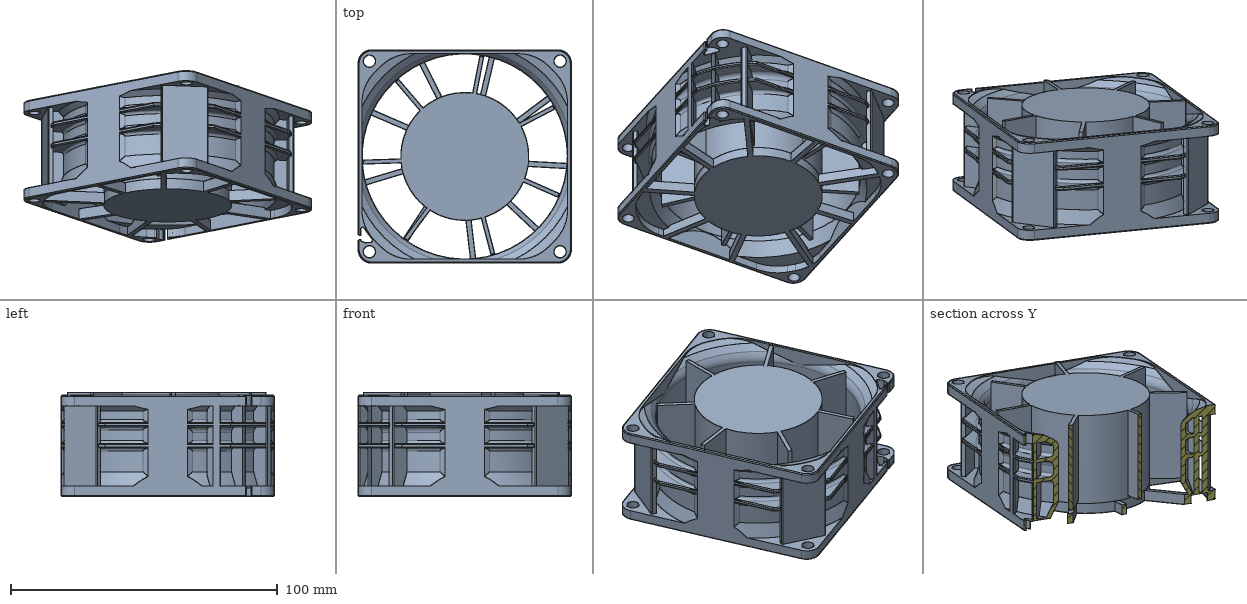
import cadquery as cq
import math

side = 80.0
half = side / 2
frame_height = 38.0
overall_height = 39.0
flange = 4.0
corner_radius = 5.0
bevel = 0.4
hole_diameter = 4.5
hole_spacing = 71.5

bore_radius = 38.5
throat_half = 38.6
mouth_radius = 46.2
throat_fillet = 16.0
shell_radius = 40.0
shell_flare_radius = 42.0
lower_cone_top = 9.3
upper_flare_bottom = 32.0
recess_depth = 3.2
recess_radius = 46.9
bell_arc_radius = 4.4
bell_arc_bottom = 31.4
bell_arc_sweep = 53.0
bell_bend = (42.9, 37.0)
bell_rim_radius = 46.8

pad_half_width = 7.4
pad_root_half_width = 10.4
pad_root_depth = 1.8

rib_levels = (19.0, 27.0)
rib_thickness = 1.6
rib_radius = 46.4
rib_root_fillet = 1.2
brace_fillet = 2.2

guard_outer = 46.6
guard_thickness = 1.9
guard_length = 17.8
guard_web_thickness = 1.6
guards = ((-45, 2.4), (135, -2.4), (45, 0.0))

cable_corner = 225
web_start = 37.2
cable_webs = (
    (-15.0, 2.5, 42.2),
    (-5.0, 1.6, 45.8),
    (7.3, 2.5, guard_outer),
)

notch_outline = [(-39.0, -26.9), (-38.1, -26.6), (-34.6, -31.2), (-34.9, -32.2), (-37.4, -32.3), (-39.0, -31.7)]
notch_entry_y = -30.4
notch_entry_width = 1.6

strut_count = 9
strut_width = 2.0
strut_angle = 76.8
strut_offset = 1.4
strut_reach = 48.0
strut_embed = 0.8

hub_radius = 24.0
blade_count = 7
blade_thickness = 1.5
blade_angle = 79.0
blade_offset = 0.9
blade_tip = 38.1
blade_root = hub_radius - 2.4
blade_clearance = 1.0

bay_bottom = flange
bay_top = frame_height - flange
bay_height = bay_top - bay_bottom
lower_slope = (shell_flare_radius - shell_radius) / (lower_cone_top - bay_bottom)
recess_floor_radius = bore_radius + lower_slope * (lower_cone_top - recess_depth)


def slab(bottom, height, width=side):
    """Square slab centred on the axis."""
    return cq.Workplane("XY").workplane(offset=bottom).rect(width, width).extrude(height)


def turned(profile):
    """Revolve an (axis distance, height) outline drawn in the XZ plane about the Z axis."""
    return profile.close().revolve(360, (0, 0, 0), (0, 1, 0))


def radial_box(start, end, offset, thickness, bottom, top, angle):
    """Plate running outward along the given angle, its middle plane offset from the axis."""
    plate = cq.Workplane("XY").box(end - start, thickness, top - bottom, centered=(False, True, False))
    return plate.translate((start, offset, bottom)).rotate((0, 0, 0), (0, 0, 1), angle)


def beveled_plate(start, end, offset, thickness, angle):
    """Upright plate between the flanges, running outward with its two outer corners bevelled."""
    edge = thickness / 2
    plate = (
        cq.Workplane("XY")
        .polyline([
            (start, -edge),
            (end - bevel, -edge),
            (end, bevel - edge),
            (end, edge - bevel),
            (end - bevel, edge),
            (start, edge),
        ])
        .close()
        .extrude(bay_height)
    )
    return plate.translate((0, offset, bay_bottom)).rotate((0, 0, 0), (0, 0, 1), angle)


def flange_plate(bottom, rim):
    """Rounded square flange with its outer rim chamfered."""
    plate = slab(bottom, flange).edges("|Z").fillet(corner_radius)
    return plate.faces(rim).chamfer(bevel)


def duct_shell():
    """Outside of the duct, flared towards both flanges."""
    shell = turned(
        cq.Workplane("XZ")
        .moveTo(0, bay_bottom)
        .lineTo(shell_flare_radius, bay_bottom)
        .lineTo(shell_radius, lower_cone_top)
        .lineTo(shell_radius, upper_flare_bottom)
        .lineTo(shell_flare_radius, bay_top)
        .lineTo(0, bay_top)
    )
    return shell.intersect(slab(bay_bottom, bay_height))


def side_pads():
    """Flat pads in the middle of the four sides, with sloping flanks."""
    root = half - pad_root_depth
    pad = (
        cq.Workplane("XY")
        .workplane(offset=bay_bottom)
        .polyline([
            (bore_radius - pad_root_depth, -pad_root_half_width),
            (root, -pad_root_half_width),
            (half, -pad_half_width),
            (half, pad_half_width),
            (root, pad_root_half_width),
            (bore_radius - pad_root_depth, pad_root_half_width),
        ])
        .close()
        .extrude(bay_height)
    )
    pads = pad
    for angle in (90, 180, 270):
        pads = pads.union(pad.rotate((0, 0, 0), (0, 0, 1), angle))
    return pads


def rib_root(level, fillet):
    """Ring on the duct wall with a concave fillet below its flat top at the given level."""
    bottom = level - fillet
    sag = fillet * (1 - math.sqrt(0.5))
    return turned(
        cq.Workplane("XZ")
        .moveTo(bore_radius, level)
        .lineTo(bore_radius, bottom)
        .lineTo(shell_radius, bottom)
        .threePointArc((shell_radius + sag, level - sag), (shell_radius + fillet, level))
    )


def rib(level):
    """Horizontal rib around the duct, trimmed to the square sides, bevelled, with filleted roots."""
    low = level - rib_thickness / 2
    disc = cq.Workplane("XY").workplane(offset=low).circle(rib_radius).extrude(rib_thickness)
    plate = slab(low, rib_thickness).intersect(disc)
    plate = plate.faces("<Z or >Z").chamfer(bevel)
    lower_root = rib_root(low, rib_root_fillet)
    upper_root = lower_root.mirror("XY", (0, 0, level))
    roots = lower_root.union(upper_root).intersect(slab(bay_bottom, bay_height))
    return plate.union(roots)


def rib_brace():
    """Heavier fillet under the upper rib, in the cable corner only."""
    corner = cq.Workplane("XY").box(half, half, frame_height, centered=False).translate((-half, -half, 0))
    return rib_root(rib_levels[-1] - rib_thickness / 2, brace_fillet).intersect(corner)


def corner_guard(angle, web_offset):
    """Diagonal guard plate across a corner, with a web back to the duct."""
    inner = guard_outer - guard_thickness
    plate = beveled_plate(inner, guard_outer, 0, guard_length, angle)
    web = radial_box(web_start, inner, web_offset, guard_web_thickness, bay_bottom, bay_top, angle)
    return plate.union(web)


def cable_corner_webs():
    """Upright webs parallel to the diagonal of the cable corner."""
    webs = cq.Workplane("XY")
    for offset, thickness, end in cable_webs:
        webs = webs.union(beveled_plate(web_start, end, offset, thickness, cable_corner))
    return webs.intersect(slab(bay_bottom, bay_height))


def cable_notch():
    """Hooked cable opening through both flanges, with a narrow entry from the side."""
    pocket = cq.Workplane("XY").polyline(notch_outline).close().extrude(frame_height)
    neck = notch_entry_width / 2
    inner_end = notch_outline[1][0]
    entry = (
        cq.Workplane("XY")
        .polyline([
            (-half, neck + bevel),
            (bevel - half, neck),
            (inner_end, neck),
            (inner_end, -neck),
            (bevel - half, -neck),
            (-half, -neck - bevel),
        ])
        .close()
        .extrude(frame_height)
        .translate((0, notch_entry_y, 0))
    )
    return pocket.union(entry).cut(slab(bay_bottom, bay_height, 2 * side))


def mouth_outline(height, radius, margin=0.0):
    """Prism of a mouth: a square rounded off at the given radius, both grown by the margin."""
    square = slab(0, height, 2 * (throat_half + margin))
    rounded = square.intersect(cq.Workplane("XY").circle(radius + margin).extrude(height))
    return rounded.edges("|Z").fillet(throat_fillet)


def bell_arc_point(degrees):
    """Point on the bell mouth arc, which leaves the bore wall at zero degrees."""
    turn = math.radians(degrees)
    return (
        bore_radius + bell_arc_radius * (1 - math.cos(turn)),
        bell_arc_bottom + bell_arc_radius * math.sin(turn),
    )


def air_passage():
    """Bore with a bell-shaped upper mouth and a cone opening into the lower recess."""
    bore = turned(
        cq.Workplane("XZ")
        .moveTo(0, recess_depth)
        .lineTo(recess_floor_radius, recess_depth)
        .lineTo(bore_radius, lower_cone_top)
        .lineTo(bore_radius, bell_arc_bottom)
        .threePointArc(bell_arc_point(bell_arc_sweep / 2), bell_arc_point(bell_arc_sweep))
        .lineTo(*bell_bend)
        .lineTo(bell_rim_radius, frame_height)
        .lineTo(0, frame_height)
    )
    passage = bore.intersect(mouth_outline(frame_height, mouth_radius))
    return passage.union(mouth_outline(recess_depth, recess_radius))


def motor_mount():
    """Base disc carried by the struts at the bottom of the frame."""
    mount = cq.Workplane("XY").circle(hub_radius).extrude(flange)
    for i in range(strut_count):
        angle = strut_angle + 360 / strut_count * i
        mount = mount.union(
            radial_box(blade_root, strut_reach, -strut_offset, strut_width, 0, flange, angle)
        )
    return mount.intersect(mouth_outline(flange, recess_radius, strut_embed))


def make_frame():
    """Square fan housing with its ribs, guards, cable corner and motor mount."""
    body = flange_plate(0, "<Z").union(flange_plate(bay_top, ">Z")).union(duct_shell()).union(side_pads())
    for level in rib_levels:
        body = body.union(rib(level))
    body = body.union(rib_brace()).union(cable_corner_webs())
    for angle, web_offset in guards:
        body = body.union(corner_guard(angle, web_offset))
    body = body.cut(air_passage()).cut(cable_notch())
    holes = cq.Workplane("XY").rect(hole_spacing, hole_spacing, forConstruction=True).vertices()
    body = body.cut(holes.circle(hole_diameter / 2).extrude(frame_height))
    return body.union(motor_mount())


def make_rotor():
    """Hub resting on the base disc, with flat blades."""
    body = cq.Workplane("XY").workplane(offset=flange).circle(hub_radius).extrude(overall_height - flange)
    for i in range(blade_count):
        angle = blade_angle + 360 / blade_count * i
        body = body.union(
            radial_box(blade_root, blade_tip, blade_offset, blade_thickness,
                       flange + blade_clearance, overall_height, angle)
        )
    return body


frame = make_frame()
rotor = make_rotor()
result = cq.Compound.makeCompound([frame.val(), rotor.val()])